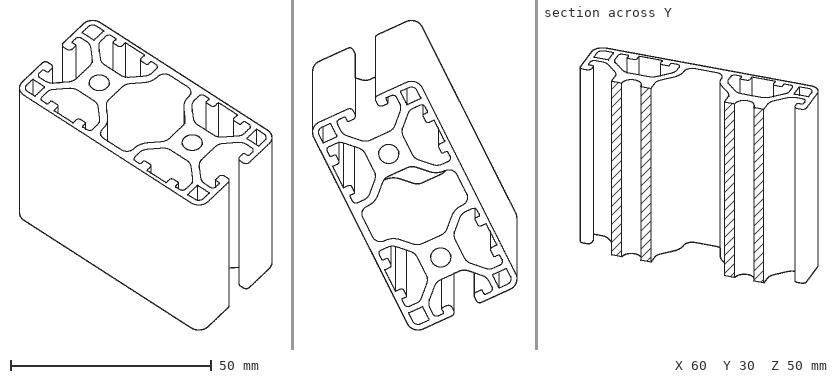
import cadquery as cq
import math

width = 60.0
depth = 30.0
length = 50.0
outer_radius = 3.0

core_x = width / 4
core_half = 5.25
bore_diameter = 5.0

wall = 1.5
half_cell = depth / 2
wall_inside = half_cell - wall
web_offset = 1.45

slot_half_opening = 3.1
slot_half_width = 8.15
lip_half_width = 5.6
lip_depth = 3.0
lip_radius = 1.0
closed_lip_radius = 0.7
hook_radius = 0.3
slot_corner_radius = 1.0
slot_web_radius = 3.0
core_corner_radius = 3.0
skin = 1.0
chamber_side_radius = 3.0
cell_side_radius = 2.0

corner_cell_inner = 9.65
corner_cell_radius = outer_radius - wall

chamber_half_width = 5.0
chamber_half_depth = 13.0
chamber_corner_radius = 2.2
chamber_web_radius = 5.0
chamber_core_radius = 3.0


def mirror_x(corners):
    """Reflect corners across the YZ plane, keeping the direction of travel."""
    return [(-x, y, r) for x, y, r in reversed(corners)]


def mirror_y(corners):
    """Reflect corners across the XZ plane, keeping the direction of travel."""
    return [(x, -y, r) for x, y, r in reversed(corners)]


def rounded_prism(corners):
    """Full-length prism over a polygon whose (x, y, radius) corners are rounded."""
    rounded = []
    count = len(corners)
    for i, (x, y, radius) in enumerate(corners):
        corner = cq.Vector(x, y)
        before = (cq.Vector(*corners[i - 1][:2]) - corner).normalized()
        after = (cq.Vector(*corners[(i + 1) % count][:2]) - corner).normalized()
        half_angle = before.getAngle(after) / 2
        tangent = radius / math.tan(half_angle)
        arc_gap = radius / math.sin(half_angle) - radius
        middle = corner + (before + after).normalized() * arc_gap
        rounded.append((corner + before * tangent, middle, corner + after * tangent, radius))

    sketch = cq.Workplane("XY").moveTo(*rounded[0][2].toTuple()[:2])
    for start, middle, end, radius in rounded[1:] + rounded[:1]:
        sketch = sketch.lineTo(start.x, start.y)
        if radius > 0:
            sketch = sketch.threePointArc((middle.x, middle.y), (end.x, end.y))
    return sketch.close().extrude(length)


def outer_block():
    return cq.Workplane("XY").rect(width, depth).extrude(length).edges("|Z").fillet(outer_radius)


def open_slot():
    """T-slot through the -X face, about the core axis."""
    hook_x = -half_cell + lip_depth
    upper = [
        (-half_cell, slot_half_opening, 0),
        (hook_x, slot_half_opening, lip_radius),
        (hook_x, lip_half_width, hook_radius),
        (-wall_inside, lip_half_width, hook_radius),
        (-wall_inside, slot_half_width, slot_corner_radius),
        (-slot_half_width - web_offset, slot_half_width, slot_web_radius),
        (-core_half, core_half - web_offset, core_corner_radius),
    ]
    return rounded_prism(upper + mirror_y(upper))


def closed_slot():
    """T-slot behind the +Y face, closed by a thin skin, about the core axis."""

    def right_half(web_radius):
        hook_y = half_cell - lip_depth
        return [
            (slot_half_opening, half_cell - skin, 0),
            (slot_half_opening, hook_y, closed_lip_radius),
            (lip_half_width, hook_y, hook_radius),
            (lip_half_width, wall_inside, hook_radius),
            (slot_half_width, wall_inside, slot_corner_radius),
            (slot_half_width, slot_half_width + web_offset, web_radius),
            (core_half - web_offset, core_half, core_corner_radius),
        ]

    chamber_side = right_half(chamber_side_radius)
    cell_side = mirror_x(right_half(cell_side_radius))
    return rounded_prism(chamber_side + cell_side)


def corner_cell():
    """Square cell in the (-X, +Y) corner, about the core axis."""
    return rounded_prism([
        (-wall_inside, corner_cell_inner, 0),
        (-wall_inside, wall_inside, corner_cell_radius),
        (-corner_cell_inner, wall_inside, 0),
        (-corner_cell_inner, corner_cell_inner, 0),
    ])


def central_chamber():
    """Chamber between the two cores, about the centre of the part."""
    core_face = core_x - core_half
    upper_right = [
        (core_face, core_half - web_offset, chamber_core_radius),
        (chamber_half_width, core_x - chamber_half_width - web_offset, chamber_web_radius),
        (chamber_half_width, chamber_half_depth, chamber_corner_radius),
    ]
    upper = upper_right + mirror_x(upper_right)
    return rounded_prism(upper + mirror_y(upper))


def core_bore():
    return cq.Workplane("XY").circle(bore_diameter / 2).extrude(length)


def half_cutters():
    """Every void around the -X core."""
    cutters = [open_slot(), core_bore()]
    for void in (closed_slot(), corner_cell()):
        cutters += [void, void.mirror("XZ")]
    return [cutter.translate((-core_x, 0, 0)) for cutter in cutters]


def lip_edges(x):
    """Selector for the outer edges of the two lips on the end face at x."""
    reach = slot_half_opening + lip_radius / 2
    return cq.selectors.BoxSelector(
        (x - lip_radius, -reach, 0),
        (x + lip_radius, reach, length),
    )


result = outer_block().cut(central_chamber())
for cutter in half_cutters():
    result = result.cut(cutter).cut(cutter.mirror("YZ"))
for end_x in (-width / 2, width / 2):
    result = result.edges("|Z").edges(lip_edges(end_x)).fillet(lip_radius)